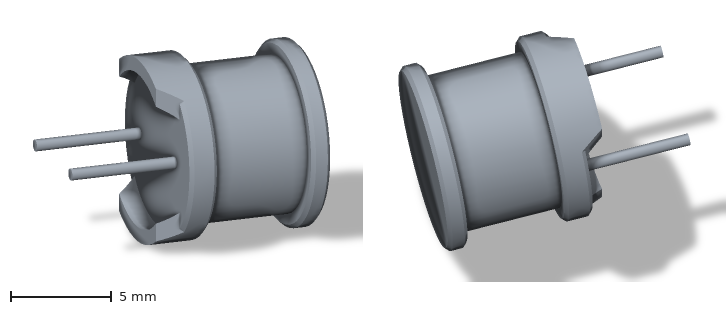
import cadquery as cq
import math


flange_diameter = 9.5
flange_chamfer = 0.2
rear_flange_thickness = 1.01
front_flange_length = 2.5
foot_height = 1.04
foot_end_width = 5.15
foot_side_angle = 30.0
winding_diameter = 8.0
winding_length = 5.0
lead_diameter = 0.6
lead_spacing = 5.0
lead_projection = 4.5

flange_radius = flange_diameter / 2
winding_radius = winding_diameter / 2
neck_radius = winding_radius / 2
winding_start = front_flange_length
winding_end = winding_start + winding_length
core_end = winding_end + rear_flange_thickness
foot_root = foot_height + flange_chamfer
foot_end_half = foot_end_width / 2
foot_root_half = foot_end_half + foot_root * math.tan(math.radians(foot_side_angle))


def cylinder_along_y(radius, start, end):
    """Cylinder on the Y axis between two Y positions."""
    return cq.Workplane("XZ", origin=(0, start, 0)).circle(radius).extrude(start - end)


def flange(start, end):
    """Disc with both rims chamfered."""
    return cylinder_along_y(flange_radius, start, end).edges("%CIRCLE").chamfer(flange_chamfer)


def make_feet():
    """Two arc-shaped feet with sloping sides, above and below the axis."""
    ring = cylinder_along_y(flange_radius, 0, foot_root).cut(
        cylinder_along_y(winding_radius, 0, foot_root)
    )
    tapered_block = (
        cq.Workplane("XY")
        .polyline([
            (-foot_end_half, 0),
            (foot_end_half, 0),
            (foot_root_half, foot_root),
            (-foot_root_half, foot_root),
        ])
        .close()
        .extrude(flange_radius, both=True)
    )
    return ring.intersect(tapered_block)


def make_core():
    """Ferrite drum: two flanges joined by a neck, with feet on the front flange."""
    front_flange = flange(foot_height, winding_start)
    neck = cylinder_along_y(neck_radius, winding_start, winding_end)
    rear_flange = flange(winding_end, core_end)
    return front_flange.union(neck).union(rear_flange).union(make_feet())


def make_winding():
    """Sleeve filling the space between the flanges around the neck."""
    return cylinder_along_y(winding_radius, winding_start, winding_end).cut(
        cylinder_along_y(neck_radius, winding_start, winding_end)
    )


def make_lead(x):
    """Round lead standing on the front flange face."""
    return cylinder_along_y(lead_diameter / 2, -lead_projection, foot_height).translate((x, 0, 0))


core = make_core()
winding = make_winding()
leads = []
for side in (-1, 1):
    leads.append(make_lead(side * lead_spacing / 2))

result = cq.Compound.makeCompound([
    core.val(),
    winding.val(),
    *[lead.val() for lead in leads],
])